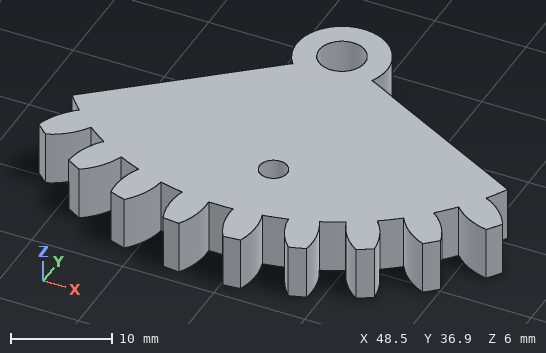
import cadquery as cq
import math

thickness = 6.0
boss_diameter = 10.0
bore_diameter = 5.0
pin_hole_diameter = 3.0
pin_hole_distance = 19.9

full_wheel_teeth = 30
tooth_count = 9
tooth_pitch = 360 / full_wheel_teeth
root_radius = 27.45
flank_radius = 29.5
tip_radius = 32.0
root_half_width = 1.55
flank_half_width = 1.65
tip_half_width = 0.9
root_overlap = 0.95

sector_middle = -90 + tooth_pitch / 2
sector_half_angle = 56.6


def polar(radius, angle):
    """Point at a radius and an angle in degrees."""
    return radius * math.cos(math.radians(angle)), radius * math.sin(math.radians(angle))


def on_circle(radius, half_width):
    """Point of a circle about the pivot, at a given height beside the X axis."""
    return math.sqrt(radius**2 - half_width**2), half_width


def mirrored(point):
    return point[0], -point[1]


def make_sector():
    return (
        cq.Workplane("XY")
        .lineTo(*polar(root_radius, sector_middle - sector_half_angle))
        .threePointArc(
            polar(root_radius, sector_middle),
            polar(root_radius, sector_middle + sector_half_angle),
        )
        .close()
        .extrude(thickness)
    )


def make_tooth(angle):
    """Tooth with bulged flanks, drawn along +X and turned to its angle."""
    root = on_circle(root_radius, root_half_width)
    flank = on_circle(flank_radius, flank_half_width)
    tip = on_circle(tip_radius, tip_half_width)
    inner_x = root_radius - root_overlap
    tooth = (
        cq.Workplane("XY")
        .moveTo(inner_x, -root_half_width)
        .lineTo(*mirrored(root))
        .threePointArc(mirrored(flank), mirrored(tip))
        .threePointArc((tip_radius, 0), tip)
        .threePointArc(flank, root)
        .lineTo(inner_x, root_half_width)
        .close()
        .extrude(thickness)
    )
    return tooth.rotate((0, 0, 0), (0, 0, 1), angle)


boss = cq.Workplane("XY").circle(boss_diameter / 2).extrude(thickness)
body = make_sector().union(boss)

first_tooth_angle = sector_middle - tooth_pitch * (tooth_count - 1) / 2
for index in range(tooth_count):
    body = body.union(make_tooth(first_tooth_angle + index * tooth_pitch))

bore = cq.Workplane("XY").circle(bore_diameter / 2).extrude(thickness)
pin_hole = (
    cq.Workplane("XY")
    .center(*polar(pin_hole_distance, sector_middle))
    .circle(pin_hole_diameter / 2)
    .extrude(thickness)
)

result = body.cut(bore).cut(pin_hole)